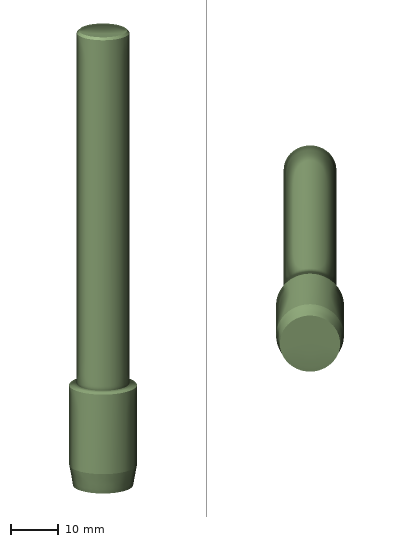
import cadquery as cq

total_length = 100.0
shaft_diameter = 11.1
shaft_chamfer = 0.5
sleeve_diameter = 14.3

sleeve_rim_height = 22.0
sleeve_top_rise = 0.4
lead_in_height = 4.5
lead_in_end_diameter = 12.7

shaft_radius = shaft_diameter / 2
sleeve_radius = sleeve_diameter / 2
lead_in_end_radius = lead_in_end_diameter / 2


def make_shaft():
    """Plain round shaft through the whole length, chamfered at its top."""
    return (
        cq.Workplane("XY")
        .circle(shaft_radius)
        .extrude(total_length)
        .faces(">Z")
        .chamfer(shaft_chamfer)
    )


def make_sleeve():
    """Sleeve around the shaft with a shallow conical top and a tapered lead-in."""
    return (
        cq.Workplane("XZ")
        .moveTo(lead_in_end_radius, 0)
        .lineTo(shaft_radius, 0)
        .lineTo(shaft_radius, sleeve_rim_height + sleeve_top_rise)
        .lineTo(sleeve_radius, sleeve_rim_height)
        .lineTo(sleeve_radius, lead_in_height)
        .close()
        .revolve(360, (0, 0, 0), (0, 1, 0))
    )


shaft = make_shaft()
sleeve = make_sleeve()

result = cq.Compound.makeCompound([shaft.val(), sleeve.val()])